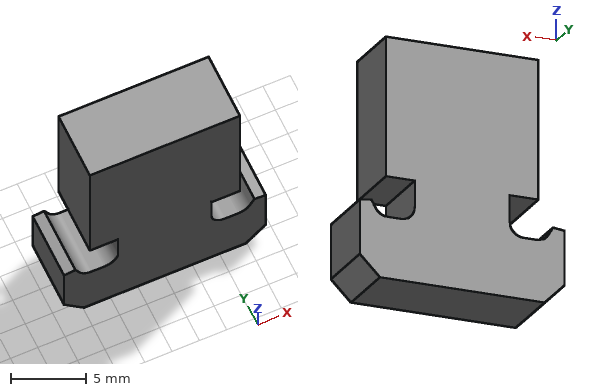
import cadquery as cq

width = 14.8
thickness = 5.0
height = 17.3

head_width = 11.0
head_bottom = 7.3
neck_width = 6.85

foot_chamfer = 1.45
lip_outer_height = 5.36
lip_tip_height = 5.47
lip_tip_x = 6.55
groove_floor = 4.41
groove_outer_x = 5.95
groove_radius = 1.0

half_profile = [
    (0, 0),
    (width / 2 - foot_chamfer, 0),
    (width / 2, foot_chamfer),
    (width / 2, lip_outer_height),
    (lip_tip_x, lip_tip_height),
    (groove_outer_x, groove_floor),
    (neck_width / 2, groove_floor),
    (neck_width / 2, head_bottom),
    (head_width / 2, head_bottom),
    (head_width / 2, height),
    (0, height),
]

half_body = (
    cq.Workplane("XZ", origin=(0, thickness / 2, 0))
    .polyline(half_profile)
    .close()
    .extrude(thickness)
)


def groove_corner(x):
    """Select the groove-floor edge running along Y at the given X."""
    reach = 0.09
    return cq.selectors.BoxSelector(
        (x - reach, -thickness, groove_floor - reach),
        (x + reach, thickness, groove_floor + reach),
    )


for corner_x in (neck_width / 2, groove_outer_x):
    half_body = half_body.edges("|Y").edges(groove_corner(corner_x)).fillet(groove_radius)

result = half_body.union(half_body.mirror("YZ")).clean()